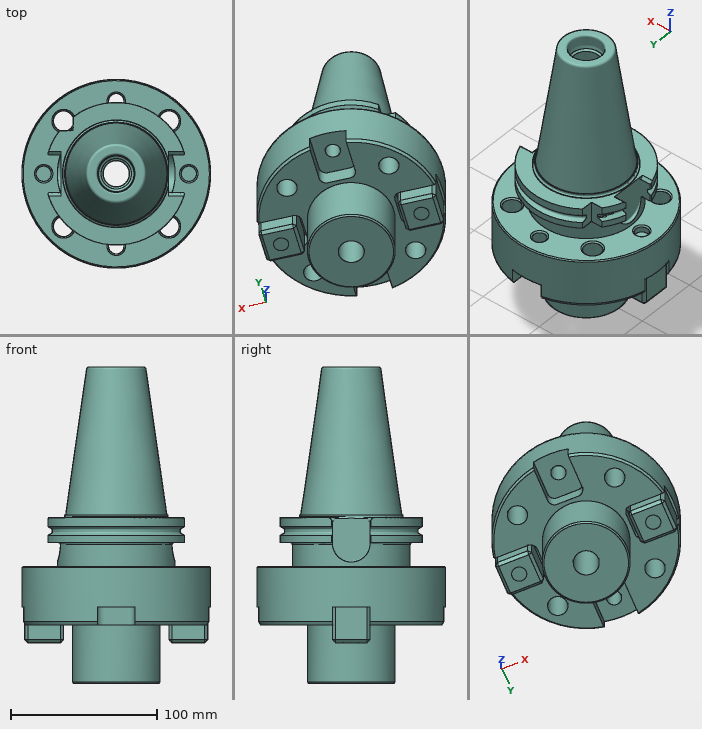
import cadquery as cq
import math

TOTAL_HEIGHT = 216.5
DISC_BOTTOM = 40.0
DISC_TOP = 80.1
FLANGE_BOTTOM = 96.4
FLANGE_TOP = 113.5

PILOT_DIAMETER = 60.0
PILOT_RADIUS = PILOT_DIAMETER / 2
PILOT_CHAMFER = 1.0
DISC_RADIUS = 64.5
DISC_TOP_CHAMFER = 0.9
DISC_BOTTOM_CHAMFER_WIDTH = 1.3
DISC_BOTTOM_CHAMFER_HEIGHT = 2.4
NECK_RADIUS = 40.3
NECK_FILLET = 1.3

FLANGE_RADIUS = 48.7
GROOVE_RADIUS = 45.7
GROOVE_CENTER = 104.5
GROOVE_FLOOR_HEIGHT = 2.5
GROOVE_SIDE_ANGLE = 30.0
GROOVE_FLOOR_FILLET = 0.9

COLLAR_RADIUS = 35.3
COLLAR_HEIGHT = 2.0
COLLAR_RECESS_RADIUS = 36.8
COLLAR_RECESS_DEPTH = 0.6
COLLAR_RECESS_FILLET = 1.3
TAPER_BASE_RADIUS = 34.7
TAPER_TOP_RADIUS = 20.1
TAPER_TOP_FILLET = 2.0

THROUGH_BORE_RADIUS = 8.9
THREAD_RADIUS = 10.5
THREAD_DEPTH = 43.3
DRILL_POINT_SLOPE = 31.0
BORE_RADIUS = 12.8
BORE_MOUTH_FILLET = 1.5
BORE_STRAIGHT_DEPTH = 8.9
BORE_END_RADIUS = 12.1
BORE_END_DEPTH = 11.0

DRIVE_SLOT_WIDTH = 25.8
DRIVE_SLOT_FLOOR_FILLET = 0.6
DRIVE_SLOT_BOTTOM = 83.2
DRIVE_SLOT_FLOOR_LEFT = 37.7
DRIVE_SLOT_FLOOR_RIGHT = 35.7
DRIVE_SLOT_TOP_CHAMFER_WIDTH = 2.2
DRIVE_SLOT_TOP_CHAMFER_HEIGHT = 2.2
DRIVE_SLOT_SIDE_CHAMFER = 0.9
NOTCH_OFFSET = 29.5

KEY_WIDTH = 25.5
KEY_TOP = 52.5
KEY_BOTTOM = 28.0
KEY_INNER = 36.0
KEY_OUTER = 62.5
KEY_CHAMFER = 2.2
KEY_ANGLES = (0, 180)
KEY_SLOT_INNER = 33.0
KEY_SLOT_CORNER_RADIUS = 5.0

SMALL_HOLE_RADIUS = 5.2
SMALL_HOLE_CIRCLE = 49.5
LARGE_HOLE_RADIUS = 7.0
LARGE_HOLE_CIRCLE = 51.0
HOLE_CHAMFER = 1.0

SCREW_RECESS = 5.5
SCREW_TOP = DISC_TOP - SCREW_RECESS


def cylinder(radius, bottom, top):
    return cq.Workplane("XY").workplane(offset=bottom).circle(radius).extrude(top - bottom)


def circle_at(radius, height):
    """Selector for the circular edge of this radius, centred on the Z axis at this height."""
    slack = 0.1
    outer = radius + slack
    inner = radius - slack
    wide = cq.selectors.BoxSelector(
        (-outer, -outer, height - slack), (outer, outer, height + slack), boundingbox=True
    )
    narrow = cq.selectors.BoxSelector(
        (-inner, -inner, height - slack), (inner, inner, height + slack), boundingbox=True
    )
    return wide - narrow


def turned_blank():
    groove_rise = (FLANGE_RADIUS - GROOVE_RADIUS) * math.tan(math.radians(GROOVE_SIDE_ANGLE))
    groove_low = GROOVE_CENTER - GROOVE_FLOOR_HEIGHT / 2
    groove_high = GROOVE_CENTER + GROOVE_FLOOR_HEIGHT / 2
    collar_top = FLANGE_TOP + COLLAR_HEIGHT
    profile = (
        cq.Workplane("XZ")
        .lineTo(PILOT_RADIUS - PILOT_CHAMFER, 0)
        .lineTo(PILOT_RADIUS, PILOT_CHAMFER)
        .lineTo(PILOT_RADIUS, DISC_BOTTOM)
        .lineTo(DISC_RADIUS - DISC_BOTTOM_CHAMFER_WIDTH, DISC_BOTTOM)
        .lineTo(DISC_RADIUS, DISC_BOTTOM + DISC_BOTTOM_CHAMFER_HEIGHT)
        .lineTo(DISC_RADIUS, DISC_TOP - DISC_TOP_CHAMFER)
        .lineTo(DISC_RADIUS - DISC_TOP_CHAMFER, DISC_TOP)
        .lineTo(NECK_RADIUS, DISC_TOP)
        .lineTo(NECK_RADIUS, FLANGE_BOTTOM)
        .lineTo(FLANGE_RADIUS, FLANGE_BOTTOM)
        .lineTo(FLANGE_RADIUS, groove_low - groove_rise)
        .lineTo(GROOVE_RADIUS, groove_low)
        .lineTo(GROOVE_RADIUS, groove_high)
        .lineTo(FLANGE_RADIUS, groove_high + groove_rise)
        .lineTo(FLANGE_RADIUS, FLANGE_TOP)
        .lineTo(COLLAR_RECESS_RADIUS, FLANGE_TOP)
        .lineTo(COLLAR_RECESS_RADIUS, FLANGE_TOP - COLLAR_RECESS_DEPTH)
        .lineTo(COLLAR_RADIUS, FLANGE_TOP - COLLAR_RECESS_DEPTH)
        .lineTo(COLLAR_RADIUS, collar_top)
        .lineTo(TAPER_BASE_RADIUS, collar_top)
        .lineTo(TAPER_TOP_RADIUS, TOTAL_HEIGHT)
        .lineTo(0, TOTAL_HEIGHT)
        .close()
    )
    blank = profile.revolve(360, (0, 0, 0), (0, 1, 0))
    blank = blank.edges(circle_at(NECK_RADIUS, FLANGE_BOTTOM)).fillet(NECK_FILLET)
    recess_corner = circle_at(COLLAR_RADIUS, FLANGE_TOP - COLLAR_RECESS_DEPTH)
    blank = blank.edges(recess_corner).fillet(COLLAR_RECESS_FILLET)
    for height in (groove_low, groove_high):
        blank = blank.edges(circle_at(GROOVE_RADIUS, height)).fillet(GROOVE_FLOOR_FILLET)
    return blank.faces(">Z").edges().fillet(TAPER_TOP_FILLET)


def central_bore():
    """Through bore with a threaded stretch and a wider pilot bore, each ending in a cone."""
    slope = math.tan(math.radians(DRILL_POINT_SLOPE))
    bore_end = TOTAL_HEIGHT - BORE_END_DEPTH
    thread_end = TOTAL_HEIGHT - THREAD_DEPTH
    profile = (
        cq.Workplane("XZ")
        .lineTo(THROUGH_BORE_RADIUS, 0)
        .lineTo(THROUGH_BORE_RADIUS, thread_end - (THREAD_RADIUS - THROUGH_BORE_RADIUS) * slope)
        .lineTo(THREAD_RADIUS, thread_end)
        .lineTo(THREAD_RADIUS, bore_end - (BORE_END_RADIUS - THREAD_RADIUS) * slope)
        .lineTo(BORE_END_RADIUS, bore_end)
        .lineTo(BORE_RADIUS, TOTAL_HEIGHT - BORE_STRAIGHT_DEPTH)
        .lineTo(BORE_RADIUS, TOTAL_HEIGHT)
        .lineTo(0, TOTAL_HEIGHT)
        .close()
    )
    return profile.revolve(360, (0, 0, 0), (0, 1, 0))


def drive_slot(floor_distance):
    """Round-ended slot on the +X side of the flange, open at the top and outside."""
    half_width = DRIVE_SLOT_WIDTH / 2
    length = DISC_RADIUS - floor_distance
    arc_center = DRIVE_SLOT_BOTTOM + half_width
    top_half_width = half_width + DRIVE_SLOT_TOP_CHAMFER_WIDTH
    slot = (
        cq.Workplane("YZ", origin=(floor_distance, 0, 0))
        .moveTo(-half_width, FLANGE_TOP)
        .lineTo(-half_width, arc_center)
        .threePointArc((0, DRIVE_SLOT_BOTTOM), (half_width, arc_center))
        .lineTo(half_width, FLANGE_TOP)
        .close()
        .extrude(length)
        .faces("<X").edges("not(>Z)").fillet(DRIVE_SLOT_FLOOR_FILLET)
    )
    top_chamfer = (
        cq.Workplane("YZ", origin=(floor_distance, 0, 0))
        .moveTo(-top_half_width, FLANGE_TOP)
        .lineTo(-half_width, FLANGE_TOP - DRIVE_SLOT_TOP_CHAMFER_HEIGHT)
        .lineTo(half_width, FLANGE_TOP - DRIVE_SLOT_TOP_CHAMFER_HEIGHT)
        .lineTo(top_half_width, FLANGE_TOP)
        .close()
        .extrude(length)
    )
    rim_corner = math.sqrt(FLANGE_RADIUS**2 - half_width**2) - DRIVE_SLOT_SIDE_CHAMFER
    flare = DISC_RADIUS - rim_corner
    side_chamfer = (
        cq.Workplane("XY", origin=(0, 0, FLANGE_BOTTOM))
        .moveTo(rim_corner, -half_width)
        .lineTo(DISC_RADIUS, -half_width - flare)
        .lineTo(DISC_RADIUS, half_width + flare)
        .lineTo(rim_corner, half_width)
        .close()
        .extrude(FLANGE_TOP - FLANGE_BOTTOM)
    )
    return slot.union(top_chamfer).union(side_chamfer)


def corner_notch():
    """Square notch through the flange rim at the -X +Y corner."""
    size = FLANGE_RADIUS - NOTCH_OFFSET
    return (
        cq.Workplane("XY", origin=(-NOTCH_OFFSET, NOTCH_OFFSET, FLANGE_BOTTOM))
        .rect(-size, size, centered=False)
        .extrude(FLANGE_TOP - FLANGE_BOTTOM)
    )


def key_slot():
    """Slot on the +X side of the disc's lower face, rounded at its inner corners."""
    length = DISC_RADIUS - KEY_SLOT_INNER
    return (
        cq.Workplane("XY", origin=(KEY_SLOT_INNER, 0, DISC_BOTTOM))
        .box(length, KEY_WIDTH, KEY_TOP - DISC_BOTTOM, centered=(False, True, False))
        .edges("|Z and <X").fillet(KEY_SLOT_CORNER_RADIUS)
    )


def disc_hole(radius, circle_radius, angle):
    """Through hole in the disc with a chamfered mouth on the top face."""
    hole = cylinder(radius, DISC_BOTTOM, DISC_TOP)
    mouth_bottom = cq.Vector(0, 0, DISC_TOP - HOLE_CHAMFER)
    mouth = cq.Solid.makeCone(radius, radius + HOLE_CHAMFER, HOLE_CHAMFER, mouth_bottom)
    hole = hole.union(cq.Workplane(mouth))
    return hole.translate((circle_radius, 0, 0)).rotate((0, 0, 0), (0, 0, 1), angle)


def build_holder():
    holder = turned_blank().cut(central_bore())
    holder = holder.edges(circle_at(BORE_RADIUS, TOTAL_HEIGHT)).fillet(BORE_MOUTH_FILLET)
    holder = holder.cut(drive_slot(DRIVE_SLOT_FLOOR_RIGHT))
    holder = holder.cut(drive_slot(DRIVE_SLOT_FLOOR_LEFT).rotate((0, 0, 0), (0, 0, 1), 180))
    holder = holder.cut(corner_notch())
    for quarter in range(4):
        angle = 90 * quarter
        holder = holder.cut(key_slot().rotate((0, 0, 0), (0, 0, 1), angle))
        holder = holder.cut(disc_hole(SMALL_HOLE_RADIUS, SMALL_HOLE_CIRCLE, angle))
        holder = holder.cut(disc_hole(LARGE_HOLE_RADIUS, LARGE_HOLE_CIRCLE, angle + 45))
    return holder


def build_key(angle):
    key = (
        cq.Workplane("XY", origin=(KEY_INNER, 0, KEY_BOTTOM))
        .box(KEY_OUTER - KEY_INNER, KEY_WIDTH, KEY_TOP - KEY_BOTTOM, centered=(False, True, False))
        .edges("|Z or <Z").chamfer(KEY_CHAMFER)
    )
    screw_hole = cylinder(SMALL_HOLE_RADIUS, KEY_BOTTOM, KEY_TOP).translate((SMALL_HOLE_CIRCLE, 0, 0))
    return key.cut(screw_hole).rotate((0, 0, 0), (0, 0, 1), angle)


def build_screw(angle):
    screw = cylinder(SMALL_HOLE_RADIUS, KEY_BOTTOM, SCREW_TOP)
    return screw.translate((SMALL_HOLE_CIRCLE, 0, 0)).rotate((0, 0, 0), (0, 0, 1), angle)


holder = build_holder()
keys = [build_key(angle) for angle in KEY_ANGLES]
screws = [build_screw(angle) for angle in KEY_ANGLES]

result = cq.Compound.makeCompound(
    [holder.val(), *[key.val() for key in keys], *[screw.val() for screw in screws]]
)